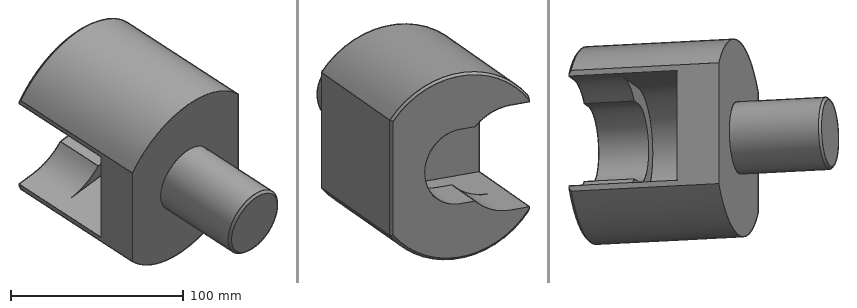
import cadquery as cq

total_length = 145.0
body_length = 90.0
body_diameter = 115.0
width_across_flats = 90.0
shank_diameter = 42.0
edge_chamfer = 1.5

slot_depth = 65.0
mouth_depth = 30.0
pocket_radius = 32.5
mouth_radius = 23.0
entry_centre = 32.6

half_width = width_across_flats / 2


def chamfered_body():
    """Round bar with two flats; the slotted face is chamfered except along the open -Y flat."""
    bar = cq.Workplane("YZ").circle(body_diameter / 2).extrude(body_length)
    beyond_flat = cq.Workplane("YZ").rect(body_diameter, body_diameter).extrude(body_length)
    flat_offset = half_width + body_diameter / 2
    body = bar.cut(beyond_flat.translate((0, flat_offset, 0)))
    body = body.faces("<X").chamfer(edge_chamfer)
    return body.cut(beyond_flat.translate((0, -flat_offset, 0)))


def shank():
    """Plain cylinder with a chamfered free end."""
    length = total_length - body_length
    cylinder = cq.Workplane("YZ", origin=(body_length, 0, 0)).circle(shank_diameter / 2).extrude(length)
    return cylinder.faces(">X").chamfer(edge_chamfer)


def open_slot(radius, centre_y, depth):
    """Slot with a round end about (centre_y, 0), running out through the -Y flat."""
    return (
        cq.Workplane("YZ")
        .moveTo(-half_width, radius)
        .lineTo(centre_y, radius)
        .threePointArc((centre_y + radius, 0), (centre_y, -radius))
        .lineTo(-half_width, -radius)
        .close()
        .extrude(depth)
    )


pocket = open_slot(pocket_radius, 0, slot_depth - mouth_depth).translate((mouth_depth, 0, 0))
mouth = open_slot(mouth_radius, 0, mouth_depth)
flared_entry = open_slot(pocket_radius, -entry_centre, mouth_depth)

result = chamfered_body().union(shank()).cut(pocket).cut(mouth).cut(flared_entry)